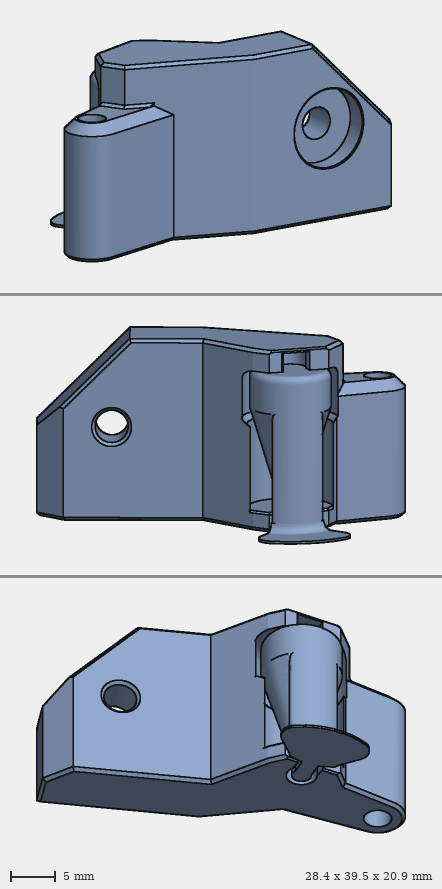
import cadquery as cq
import math


housing_height = 20.9
edge_chamfer = 0.4
front_face_x = -2.18
front_trim = 0.2
arm_angle = 70.0
arm_width = 7.08
arm_elbow = cq.Vector(6.1, 8.3)
arm_inner_length = 15.65
arm_end_x = 19.15
arm_tip_offset = 4.35
arm_outer_elbow_x = 12.8
fold_distance = 18.1

bore_distance = 20.15
bore_height = 10.8
head_recess_radius = 4.6
head_recess_depth = 2.55
head_recess_bevel = 0.1
screw_hole_radius = 1.85
screw_hole_bevel = 0.375

lug_x = 3.0
lug_y = -11.45
lug_radius = 3.12
lug_side_angle = 5.0
lug_length = 10.68
lug_height = 15.98
lug_chamfer = 1.23
lug_hole_radius = 1.6
collar_size = 0.35

knob_turn = 5.5
head_radius = 4.6
head_bottom = 13.8
head_top = 18.1
head_fillet = 0.8
stem_radius = 1.1
taper_bottom = 2.45
neck_half_width = 1.0
neck_outer_end = 2.37
grip_back = (2.85, 2.5)
grip_side = (3.2, 2.9)
grip_front_half_width = 2.7
tab_radius = 9.25
tab_thickness = 0.28
tab_half_angle = 41.5
tab_corner_radius = 1.78
foot_fillet = 1.03

head_pocket_radius = 5.5
head_pocket_bottom = 12.5
head_pocket_top = 18.35
head_pocket_fillet = 1.03
cone_pocket_radius = 4.85
pocket_floor = 2.25
lip_chamfer = 0.25
stem_slot_radius = 1.75
stem_slot_half_width = 1.55
stem_slot_lead_in = 0.25
stem_slot_top = housing_height - edge_chamfer

up = cq.Vector(0, 0, 1)
along_arm = cq.Vector(math.cos(math.radians(arm_angle)), math.sin(math.radians(arm_angle)))
across_arm = along_arm.cross(up)


def cylinder(radius, bottom, top):
    return cq.Workplane("XY").workplane(offset=bottom).circle(radius).extrude(top - bottom)




def arm_point(along, across):
    """Point at a distance along the arm from the knob axis and across it from its inner side."""
    return along_arm * along + across_arm * (arm_elbow.dot(across_arm) + across)


def arm_outer_point(x):
    start = arm_point(0, arm_width)
    return start + along_arm * ((x - start.x) / along_arm.x)


def body_outline(height):
    """Closed outline of the body and arm, front_trim longer than the finished front face."""
    end_corner = arm_outer_point(arm_end_x)
    blank_front_x = front_face_x - front_trim
    corners = [
        cq.Vector(blank_front_x, 3.12),
        cq.Vector(-0.6, 4.63),
        arm_elbow,
        arm_elbow + along_arm * arm_inner_length,
        end_corner - across_arm * arm_tip_offset,
        end_corner,
        arm_outer_point(arm_outer_elbow_x),
        cq.Vector(3.52, -5.97),
        cq.Vector(0.55, -6.5),
        cq.Vector(blank_front_x, -3.65),
    ]
    return cq.Workplane("XY").workplane(offset=height).polyline([(c.x, c.y) for c in corners]).close()


def body():
    block = body_outline(0).extrude(housing_height)
    fold = arm_point(fold_distance, arm_width / 2) + up * housing_height
    slope_plane = cq.Plane(origin=fold, xDir=across_arm, normal=along_arm + up)
    cutter_size = 4 * housing_height
    block = block.cut(cq.Workplane(slope_plane).rect(cutter_size, cutter_size).extrude(cutter_size))

    top_rim = block.faces(">Z").edges(-cq.selectors.ParallelDirSelector(across_arm))
    slope_sides = block.edges(cq.selectors.ParallelDirSelector(along_arm - up))
    return top_rim.add(slope_sides).chamfer(edge_chamfer)


def lug_outline(inset):
    """Outline of the lug, drawn in from its edge by an inset: a round end with sides that open out."""
    angle = math.radians(lug_side_angle)
    radius = lug_radius - inset
    tangent_x = radius * math.cos(angle)
    tangent_y = -radius * math.sin(angle)
    end_x = tangent_x + (lug_length - tangent_y) * math.tan(angle)
    return (
        cq.Workplane("XY")
        .center(lug_x, lug_y)
        .moveTo(-tangent_x, tangent_y)
        .threePointArc((0, -radius), (tangent_x, tangent_y))
        .lineTo(end_x, lug_length)
        .lineTo(-end_x, lug_length)
        .close()
    )


def lug():
    shoulder = lug_height - lug_chamfer
    beveled_top = lug_outline(0).extrude(lug_chamfer, taper=45).translate((0, 0, shoulder))
    return lug_outline(0).extrude(shoulder).union(beveled_top)


def lug_collar():
    ring = body_outline(lug_height).offset2D(collar_size, "intersection").extrude(collar_size, taper=45)
    return ring.intersect(lug_outline(lug_chamfer).extrude(housing_height))


def stem_slot():
    """Round slot with a narrower mouth that opens through the front face."""
    mouth = (
        cq.Workplane("XY")
        .moveTo(0, -stem_slot_half_width)
        .lineTo(front_face_x, -stem_slot_half_width)
        .lineTo(front_face_x, stem_slot_half_width + stem_slot_lead_in)
        .lineTo(front_face_x + stem_slot_lead_in, stem_slot_half_width)
        .lineTo(0, stem_slot_half_width)
        .close()
        .extrude(stem_slot_top)
    )
    return cylinder(stem_slot_radius, 0, stem_slot_top).union(mouth)


def knob_pocket():
    """Wide space for the knob's head, a narrower one below it, and the slot for its stem."""
    head_space = cylinder(head_pocket_radius, head_pocket_bottom, head_pocket_top)
    head_space = head_space.faces(">Z").edges().fillet(head_pocket_fillet)
    step = head_pocket_radius - cone_pocket_radius
    bevel_bottom = cq.Vector(0, 0, head_pocket_bottom - step)
    bevel = cq.Workplane(cq.Solid.makeCone(cone_pocket_radius, head_pocket_radius, step, bevel_bottom))
    cone_space = cylinder(cone_pocket_radius, pocket_floor, head_pocket_bottom)
    return head_space.union(bevel).union(cone_space).union(stem_slot())


def arm_bore():
    """Screw hole from the arm's inner side and head recess from its outer side, as one cutter."""
    recess_floor = arm_width - head_recess_depth
    profile = [
        (0, 0),
        (screw_hole_radius + screw_hole_bevel, 0),
        (screw_hole_radius, screw_hole_bevel),
        (screw_hole_radius, recess_floor),
        (head_recess_radius, recess_floor),
        (head_recess_radius, arm_width - head_recess_bevel),
        (head_recess_radius + head_recess_bevel, arm_width),
        (0, arm_width),
    ]
    start = arm_point(bore_distance, 0) + up * bore_height
    plane = cq.Plane(origin=start, xDir=along_arm, normal=along_arm.cross(across_arm))
    return cq.Workplane(plane).polyline(profile).close().revolve(360, (0, 0), (0, 1))


def chamfer_lip(housing):
    """Bevel the outer edges of the lip under the pocket, leaving the slot's edges sharp."""
    floor_lines = housing.faces(cq.selectors.BoxSelector(
        (front_face_x, -head_pocket_radius, pocket_floor - lip_chamfer),
        (head_pocket_radius, head_pocket_radius, pocket_floor + lip_chamfer),
    )).edges("%LINE")
    slot_edge = stem_slot_half_width + stem_slot_lead_in
    outer_lines = [line for line in floor_lines.vals() if abs(line.Center().y) > slot_edge]
    return housing.newObject(outer_lines).chamfer(lip_chamfer)


def make_housing():
    housing = body().union(lug()).union(lug_collar())
    housing = housing.faces("<Z").edges().chamfer(edge_chamfer)
    trim_size = 2 * housing_height
    front_plane = cq.Workplane("YZ").workplane(offset=front_face_x)
    front_waste = front_plane.rect(trim_size, trim_size).extrude(-trim_size)
    housing = housing.cut(front_waste).cut(knob_pocket()).cut(arm_bore())
    housing = housing.cut(cylinder(lug_hole_radius, 0, housing_height).translate((lug_x, lug_y, 0)))
    return chamfer_lip(housing).solids()




def knob_head():
    return cylinder(head_radius, head_bottom, head_top).faces(">Z").edges().fillet(head_fillet)


def knob_taper():
    profile = [(0, taper_bottom), (stem_radius, taper_bottom), (head_radius, head_bottom), (0, head_bottom)]
    return cq.Workplane("XZ").polyline(profile).close().revolve(360, (0, 0), (0, 1))


def knob_grip():
    """Upright grip with bulging sides, a round front, and a neck that joins it to the stem."""
    front_x = math.sqrt(head_radius**2 - grip_front_half_width**2)
    back_x, back_y = grip_back
    side_x, side_y = grip_side
    return (
        cq.Workplane("XY")
        .moveTo(0, -neck_half_width)
        .lineTo(neck_outer_end, -neck_half_width)
        .lineTo(back_x, -back_y)
        .threePointArc((side_x, -side_y), (front_x, -grip_front_half_width))
        .threePointArc((head_radius, 0), (front_x, grip_front_half_width))
        .threePointArc((side_x, side_y), (back_x, back_y))
        .lineTo(neck_outer_end, neck_half_width)
        .lineTo(0, neck_half_width)
        .close()
        .extrude(head_bottom)
    )


def knob_foot():
    """Thin fan-shaped tab, with a fillet that runs up to the grip."""
    angle = math.radians(tab_half_angle)
    inner_x = grip_side[0]
    inner_y = inner_x * math.tan(angle)
    corner_x = tab_radius * math.cos(angle)
    corner_y = tab_radius * math.sin(angle)
    foot_top = tab_thickness + foot_fillet
    fan = (
        cq.Workplane("XY")
        .moveTo(inner_x, -inner_y)
        .lineTo(corner_x, -corner_y)
        .threePointArc((tab_radius, 0), (corner_x, corner_y))
        .lineTo(inner_x, inner_y)
        .close()
        .extrude(foot_top)
        .edges("|Z")
        .edges(">X")
        .fillet(tab_corner_radius)
    )
    fillet_middle = foot_fillet * (1 - math.sqrt(0.5))
    section = (
        cq.Workplane("XZ")
        .lineTo(tab_radius, 0)
        .lineTo(tab_radius, tab_thickness)
        .lineTo(head_radius + foot_fillet, tab_thickness)
        .threePointArc((head_radius + fillet_middle, tab_thickness + fillet_middle), (head_radius, foot_top))
        .lineTo(0, foot_top)
        .close()
    )
    return section.revolve(360, (0, 0), (0, 1)).intersect(fan)


def make_knob():
    stem = cylinder(stem_radius, 0, head_bottom)
    knob = knob_head().union(knob_taper()).union(stem).union(knob_grip()).union(knob_foot())
    return knob.rotate((0, 0, 0), (0, 0, 1), 180 - knob_turn).solids()


housing = make_housing()
knob = make_knob()
result = cq.Compound.makeCompound([housing.val(), knob.val()])